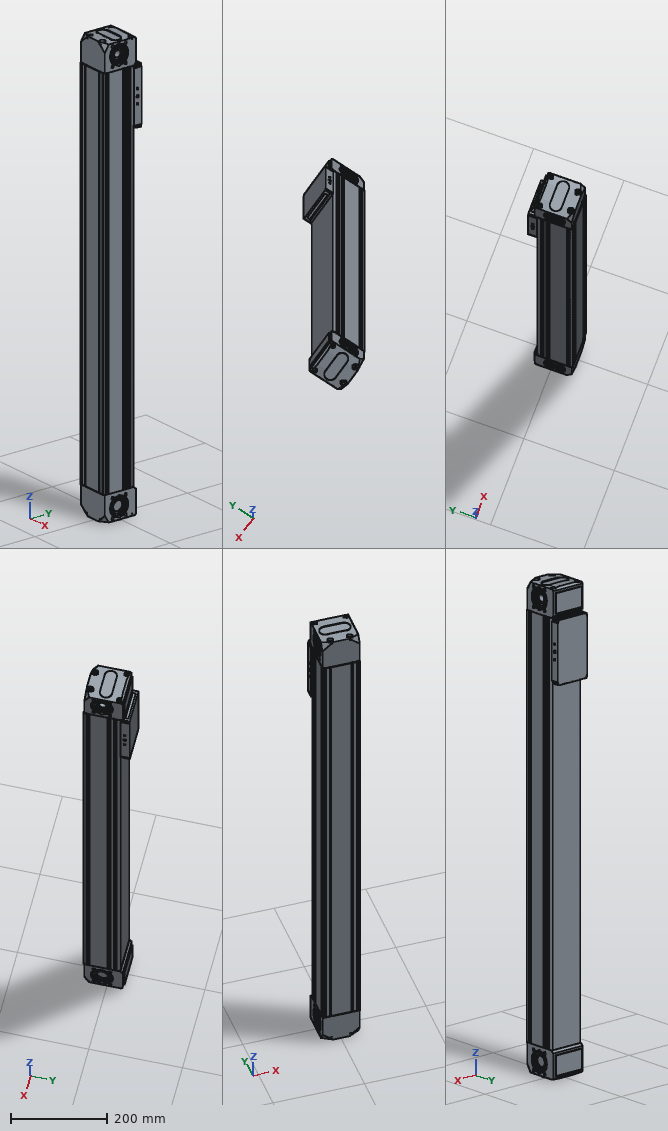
import cadquery as cq


total_length = 1075.0

profile_length = 942.0
profile_width = 81.0
profile_front_y = -49.0
profile_back_y = 30.0
rounding_height = 9.0
rounding_inset = 2.0
rounding_bulge = 0.5
side_groove_ys = [18.0, 5.0, -40.0]
side_groove_steps = [(6.0, 2.0), (2.0, 5.0)]
front_groove_xs = [24.0, 35.0]
front_groove_width = 3.0
front_groove_depth = 3.0

head_width = 82.0
head_front_y = -47.0
head_back_y = 34.0
back_edge_chamfer = 5.0
ridge_width = 37.0
roof_drop = 2.0
corner_cut_x = 24.0
corner_cut_y = 12.0
corner_cut_z = 19.0

cover_width = 71.0
cover_height = 45.0
cover_thickness = 3.0

pad_length = 68.0
pad_width = 26.0
pad_y = -5.0
pad_height = 2.0
seat_depth = 2.0

hub_steps = [(47.0, 1.0), (43.0, 2.0), (40.0, 3.0), (32.0, 4.0), (25.0, 6.0)]
hub_shift = 1.0
shaft_bore_diameter = 16.0
flange_hole_diameter = 6.0
flange_hole_depth = 11.0
flange_corner_y = 17.0
flange_corner_z = 23.0
flange_middle_z = 23.0

end_screw_hole_diameter = 4.9
end_screw_hole_depth = 22.0
end_screw_head_depth = 6.0
end_screws = [(33.0, 26.0, 10.0), (22.0, -39.0, 13.0)]

carriage_length = 142.0
carriage_width = 82.0
carriage_back_y = 49.0
end_step_length = 3.0
end_step_inset = 1.0
end_step_count = 2
end_recess_width = 65.0
end_recess_height = 6.0
end_recess_depth = 1.0
end_recess_y = 42.0
carriage_hole_y = 39.0
carriage_hole_depth = 5.0
carriage_hole_spacing = 34.0
carriage_hole_diameter = 4.0
carriage_port_diameter = 6.0

half_profile = profile_length / 2
half_profile_width = profile_width / 2
half_head = head_width / 2
ridge_z = (total_length - pad_height) / 2
hub_y = (profile_front_y + profile_back_y) / 2
hub_z = (half_profile + ridge_z) / 2 + hub_shift
carriage_end_z = half_profile
carriage_start_z = carriage_end_z - carriage_length


def block(width, y_min, y_max, z_min, z_max):
    """Box centred on X between the given Y and Z limits."""
    middle = (0, (y_min + y_max) / 2, (z_min + z_max) / 2)
    return cq.Workplane("XY").box(width, y_max - y_min, z_max - z_min).translate(middle)


def cut_side_hole(part, side, half_width, diameter, depth, y, z):
    """Cut a blind round hole into the -X (side = -1) or +X (side = 1) face."""
    start = cq.Workplane("YZ", origin=(side * half_width, y, z))
    return part.cut(start.circle(diameter / 2).extrude(-side * depth))


def cut_end_hole(part, diameter, depth, x, y):
    """Cut a blind round hole down from the end face of a head."""
    start = cq.Workplane("XY", origin=(x, y, ridge_z))
    return part.cut(start.circle(diameter / 2).extrude(-depth))


def profile_blank():
    rounding_start_y = profile_back_y - rounding_height
    rounding_middle_y = profile_back_y - rounding_height / 2
    rounding_end_x = half_profile_width - rounding_inset
    rounding_middle_x = half_profile_width - rounding_bulge
    return (
        cq.Workplane("XY", origin=(0, 0, -half_profile))
        .moveTo(-half_profile_width, profile_front_y)
        .lineTo(half_profile_width, profile_front_y)
        .lineTo(half_profile_width, rounding_start_y)
        .threePointArc((rounding_middle_x, rounding_middle_y), (rounding_end_x, profile_back_y))
        .lineTo(-rounding_end_x, profile_back_y)
        .threePointArc((-rounding_middle_x, rounding_middle_y), (-half_profile_width, rounding_start_y))
        .close()
        .extrude(profile_length)
    )


def make_profile():
    body = profile_blank()
    for side in (-1, 1):
        for y in side_groove_ys:
            for width, depth in side_groove_steps:
                groove = cq.Workplane("XY").box(2 * depth, width, profile_length)
                body = body.cut(groove.translate((side * half_profile_width, y, 0)))
        for x in front_groove_xs:
            groove = cq.Workplane("XY").box(front_groove_width, 2 * front_groove_depth, profile_length)
            body = body.cut(groove.translate((side * x, profile_front_y, 0)))
    return body


def head_blank():
    """Roof-ended block with chamfered back edges and a cover plate."""
    half_ridge = ridge_width / 2
    outline = [
        (-half_head, half_profile),
        (half_head, half_profile),
        (half_head, ridge_z - roof_drop),
        (half_ridge, ridge_z),
        (-half_ridge, ridge_z),
        (-half_head, ridge_z - roof_drop),
    ]
    roofed = (
        cq.Workplane("XZ", origin=(0, head_front_y, 0))
        .polyline(outline)
        .close()
        .extrude(head_front_y - head_back_y)
    )
    chamfered = block(head_width, head_front_y, head_back_y, half_profile, ridge_z)
    chamfered = chamfered.edges(">Y and |X").chamfer(back_edge_chamfer)

    cover_middle_z = (half_profile + ridge_z) / 2
    cover = block(
        cover_width,
        head_back_y,
        head_back_y + cover_thickness,
        cover_middle_z - cover_height / 2,
        cover_middle_z + cover_height / 2,
    )
    return roofed.intersect(chamfered).union(cover)


def corner_cutter(side):
    """Tetrahedron that takes the oblique cut off one outer front corner."""
    x = side * half_head
    corner = cq.Vector(x, head_front_y, ridge_z)
    along_x = cq.Vector(x - side * corner_cut_x, head_front_y, ridge_z)
    along_y = cq.Vector(x, head_front_y + corner_cut_y, ridge_z)
    along_z = cq.Vector(x, head_front_y, ridge_z - corner_cut_z)
    triangles = [
        (corner, along_x, along_y),
        (corner, along_y, along_z),
        (corner, along_z, along_x),
        (along_x, along_y, along_z),
    ]
    faces = [cq.Face.makeFromWires(cq.Wire.makePolygon(points, close=True)) for points in triangles]
    return cq.Workplane(obj=cq.Solid.makeSolid(cq.Shell.makeShell(faces)))


def cut_hub(head, side):
    """Stepped hub recess with its flange holes in one side of a head."""
    for diameter, depth in hub_steps:
        head = cut_side_hole(head, side, half_head, diameter, depth, hub_y, hub_z)
    holes = [(0, flange_middle_z), (-flange_corner_y, flange_corner_z), (flange_corner_y, flange_corner_z)]
    for dy, dz in holes:
        for z in (hub_z - dz, hub_z + dz):
            head = cut_side_hole(
                head, side, half_head, flange_hole_diameter, flange_hole_depth, hub_y + dy, z
            )
    return head


def make_head():
    """The features that both heads share."""
    head = head_blank()
    for side in (-1, 1):
        head = head.cut(corner_cutter(side))
        head = cut_hub(head, side)
        for x, y, screw_head_diameter in end_screws:
            head = cut_end_hole(head, screw_head_diameter, end_screw_head_depth, side * x, y)
            head = cut_end_hole(head, end_screw_hole_diameter, end_screw_hole_depth, side * x, y)
    return head


def end_obround(z_min, z_max):
    return cq.Workplane("XY", origin=(0, pad_y, z_min)).slot2D(pad_length, pad_width).extrude(z_max - z_min)


def make_idler_head():
    """Upper head: sunk obround seat and a bore right through the hub."""
    head = make_head().cut(end_obround(ridge_z - seat_depth, ridge_z))
    return cut_side_hole(head, -1, half_head, shaft_bore_diameter, head_width, hub_y, hub_z)


def make_drive_head():
    """Lower head: raised obround pad and closed hubs."""
    pad = end_obround(ridge_z - roof_drop, ridge_z + pad_height)
    return make_head().union(pad).mirror("XY")


def carriage_layer(step):
    """Plate of full length less the given number of end steps, bevelled where it meets the profile."""
    shortening = step * end_step_length
    narrowing = (end_step_count - step) * end_step_inset
    layer = block(
        carriage_width - 2 * narrowing,
        profile_back_y,
        carriage_back_y,
        carriage_start_z + shortening,
        carriage_end_z - shortening,
    )
    bevel = (end_step_count - step) * end_step_length
    if bevel > 0:
        layer = layer.faces("<Y").edges("|X").chamfer(bevel)
    return layer


def make_carriage():
    body = carriage_layer(0)
    for step in range(1, end_step_count + 1):
        body = body.union(carriage_layer(step))

    for z in (carriage_start_z, carriage_end_z):
        recess = cq.Workplane("XY").box(end_recess_width, end_recess_height, 2 * end_recess_depth)
        body = body.cut(recess.translate((0, end_recess_y, z)))

    middle_z = (carriage_start_z + carriage_end_z) / 2
    holes = [
        (middle_z - carriage_hole_spacing / 2, carriage_hole_diameter),
        (middle_z, carriage_port_diameter),
        (middle_z + carriage_hole_spacing / 2, carriage_hole_diameter),
    ]
    for side in (-1, 1):
        for z, diameter in holes:
            body = cut_side_hole(
                body, side, carriage_width / 2, diameter, carriage_hole_depth, carriage_hole_y, z
            )
    return body


profile = make_profile()
idler_head = make_idler_head()
drive_head = make_drive_head()
carriage = make_carriage()

bodies = [profile, idler_head, drive_head, carriage]
result = cq.Compound.makeCompound([body.solids().val() for body in bodies])